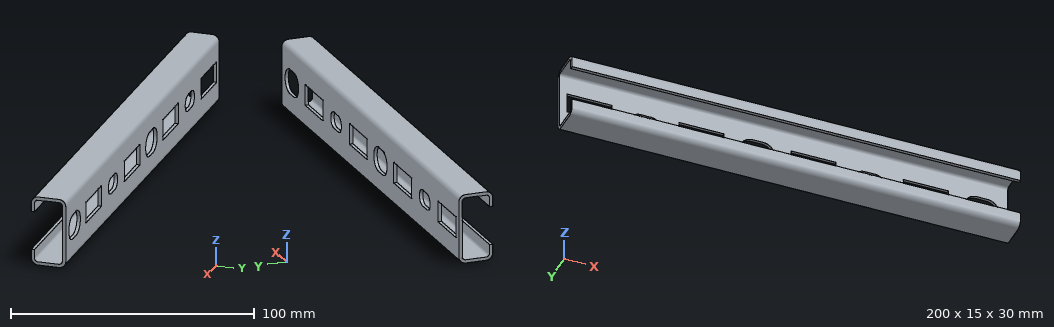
import cadquery as cq

length = 200.0
depth = 15.0
height = 30.0

sheet = 1.5
outer_bend_radius = 3.0
inner_bend_radius = outer_bend_radius - sheet
mouth_width = 16.5

hole_pitch = 25.0
first_hole_x = 13.5
window_length = 20.0
window_height = 9.0
small_slot_length = 12.0
small_slot_height = 7.0
large_slot_length = 15.0
large_slot_height = 10.5


def rounded_bar(bar_depth, bar_height, radius):
    """Solid bar along X with its four long edges rounded, centred on the rail axis in Y and Z."""
    bar = cq.Workplane("YZ").rect(bar_depth, bar_height).extrude(length)
    return bar.edges("|X").fillet(radius)


def channel():
    """C-shaped rail: a rounded tube with its -Y wall opened by the mouth."""
    outer = rounded_bar(depth, height, outer_bend_radius)
    inner = rounded_bar(depth - 2 * sheet, height - 2 * sheet, inner_bend_radius)
    mouth = cq.Workplane("XY").box(length, depth / 2, mouth_width).translate((length / 2, -depth / 4, 0))
    return outer.cut(inner).cut(mouth)


def web_plane(x):
    """Sketch plane through the rail axis, centred at the given X and facing -Y."""
    return cq.Workplane("XZ", origin=(x, 0, 0))


def window(x):
    """Cutter for a rectangular opening through the web."""
    return web_plane(x).rect(window_length, window_height).extrude(-depth)


def slot(x, slot_length, slot_height):
    """Cutter for a round-ended slot through the web."""
    return web_plane(x).slot2D(slot_length, slot_height).extrude(-depth)


def perforate(rail):
    """Cut the repeating run: window, small slot, window, large slot."""
    run_pitch = 4 * hole_pitch
    run_count = int(length // run_pitch)
    for run in range(run_count):
        start_x = first_hole_x + run * run_pitch
        rail = rail.cut(window(start_x))
        rail = rail.cut(slot(start_x + hole_pitch, small_slot_length, small_slot_height))
        rail = rail.cut(window(start_x + 2 * hole_pitch))
        rail = rail.cut(slot(start_x + 3 * hole_pitch, large_slot_length, large_slot_height))
    return rail


result = perforate(channel())